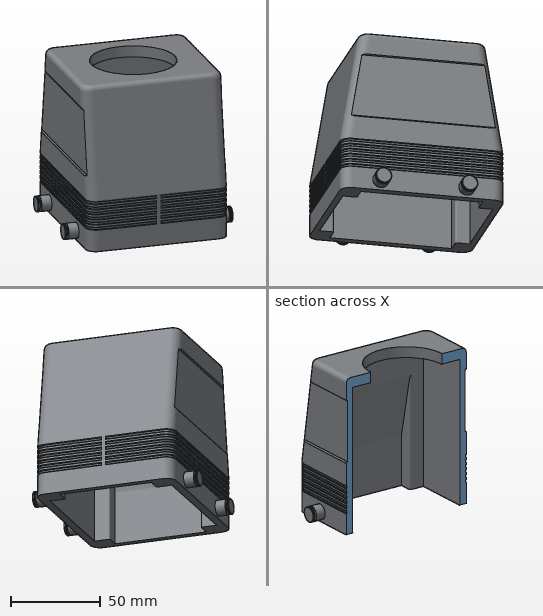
import cadquery as cq
import math

length = 93.5
width = 82.4
height = 94.0
base_height = 30.2
top_length = 72.3
corner_radius = 6.0
top_edge_radius = 3.0

core_length = 69.9
core_width = 72.9
roof_thickness = 6.5
relief_height = 68.8
relief_lean = math.radians(12)
relief_width = 54.6
relief_edge_radius = 1.0
cable_hole_diameter = 48.8

recess_depth = 0.8
recess_bottom = 43.0
recess_top = 80.9
recess_top_slope = 0.5

groove_count = 6
first_groove_height = 13.6
last_groove_height = 28.7
groove_mouth = 1.8
groove_depth = 0.4
groove_gap = 2.6

pin_span = 98.5
pin_spacing = 49.4
pin_height = 6.0
pin_radius = 4.5
pin_neck_radius = 2.7
pin_head_thickness = 1.3
pin_neck_length = 0.9
pin_head_chamfer = 0.3


def hood_body():
    """Solid hood with rounded upright corners and a rounded top rim."""
    outline = [
        (-length / 2, 0),
        (length / 2, 0),
        (length / 2, base_height),
        (top_length / 2, height),
        (-top_length / 2, height),
        (-length / 2, base_height),
    ]
    body = cq.Workplane("XZ").polyline(outline).close().extrude(width / 2, both=True)
    body = body.edges("(not #Z) and (not |Y)").fillet(corner_radius)
    return body.faces(">Z").edges().fillet(top_edge_radius)


def cavity():
    """Hollow open at the bottom, with a sloped relief inside each X side."""
    roof_underside = height - roof_thickness
    core = cq.Workplane("XY").rect(core_length, core_width).extrude(roof_underside)

    relief_reach = core_length / 2 + (relief_height - base_height) * math.tan(relief_lean)
    outline = [
        (-relief_reach, 0),
        (relief_reach, 0),
        (relief_reach, base_height),
        (core_length / 2, relief_height),
        (-core_length / 2, relief_height),
        (-relief_reach, base_height),
    ]
    relief = cq.Workplane("XZ").polyline(outline).close().extrude(relief_width / 2, both=True)

    hollow = core.union(relief)
    margin = 0.1
    relief_mouth = cq.selectors.BoxSelector(
        (-core_length / 2 - margin, -relief_width / 2 - margin, margin),
        (core_length / 2 + margin, relief_width / 2 + margin, relief_height - margin),
    )
    hollow = hollow.edges("|Z").edges(relief_mouth).fillet(relief_edge_radius)
    hole = cq.Workplane("XY").circle(cable_hole_diameter / 2).extrude(height)
    return hollow.union(hole)


def face_recess():
    """Cutter for the recess in the -Y face, sloped at its lower and upper ends."""
    face = -width / 2
    floor = face + recess_depth
    profile = [
        (face, recess_bottom),
        (floor, recess_bottom + recess_depth),
        (floor, recess_top - recess_top_slope),
        (face, recess_top),
    ]
    return cq.Workplane("YZ").polyline(profile).close().extrude(length / 2, both=True)


def base_block(bottom, block_height, inset):
    """Rounded block with the base outline moved inwards by an inset."""
    block = cq.Workplane("XY", origin=(0, 0, bottom))
    block = block.rect(length - 2 * inset, width - 2 * inset).extrude(block_height)
    return block.edges("|Z").fillet(corner_radius - inset)


def grip_groove(centre_height):
    """Ring cutter with 45 degree flanks, leaving a bridge on each X side."""
    bottom = centre_height - groove_mouth / 2
    waist = base_block(bottom, groove_mouth, groove_depth)
    lower_flank = base_block(bottom, groove_depth, 0).faces("<Z").wires().toPending()
    lower_flank = lower_flank.extrude(groove_depth, taper=45, combine=False)
    upper_flank = lower_flank.mirror("XY", (0, 0, centre_height))
    bridges = cq.Workplane("XY", origin=(0, 0, centre_height)).box(2 * length, groove_gap, groove_mouth)
    ring = base_block(bottom, groove_mouth, 0)
    return ring.cut(waist).cut(lower_flank).cut(upper_flank).cut(bridges)


def locking_pin(x):
    """Pin turned about Y, standing out of the -Y face."""
    tip = pin_span / 2
    head_back = tip - pin_head_thickness
    barrel_end = head_back - pin_neck_length
    root = core_width / 2
    profile = [
        (0, -root),
        (pin_radius, -root),
        (pin_radius, -barrel_end),
        (pin_neck_radius, -barrel_end),
        (pin_neck_radius, -head_back),
        (pin_radius - pin_head_chamfer, -head_back),
        (pin_radius, -head_back - pin_head_chamfer),
        (pin_radius, -tip + pin_head_chamfer),
        (pin_radius - pin_head_chamfer, -tip),
        (0, -tip),
    ]
    pin = cq.Workplane("XY").polyline(profile).close().revolve(360, (0, 0), (0, 1))
    return pin.translate((x, 0, pin_height))


result = hood_body()

groove_pitch = (last_groove_height - first_groove_height) / (groove_count - 1)
for number in range(groove_count):
    result = result.cut(grip_groove(first_groove_height + number * groove_pitch))

recess = face_recess()
result = result.cut(recess).cut(recess.mirror("XZ"))

for x in (-pin_spacing / 2, pin_spacing / 2):
    pin = locking_pin(x)
    result = result.union(pin).union(pin.mirror("XZ"))

result = result.cut(cavity())